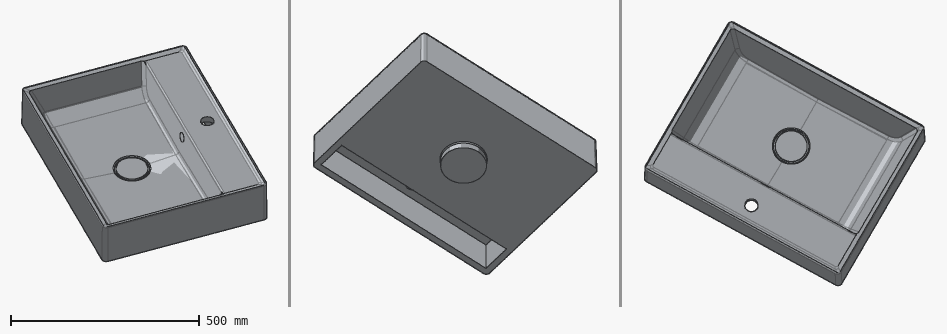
import cadquery as cq
import math

WIDTH = 600.0
DEPTH = 470.0
BODY_HEIGHT = 120.0
SIDE_DRAFT = 2.0
CORNER_RADIUS = 12.0
RIM_ROUND = 1.0
BACK_Y = DEPTH / 2
FRONT_Y = -DEPTH / 2

RIM_LAND = 5.0
RIM_STEP_BACK_INSET = 11.5
RIM_STEP_DROP = 3.0
DECK_INSET = 18.0
DECK_DROP = 4.5
DECK_Z = BODY_HEIGHT - DECK_DROP
DECK_EDGE_Y = 113.0
DECK_EDGE_ROUND = 5.0
TAP_HOLE_DIAMETER = 35.0
TAP_HOLE_Y = 180.0

BOWL_HALF_WIDTH = 284.0
BOWL_FRONT_Y = -218.0
SIDE_LEAN = math.radians(26.5)
FRONT_LEAN = math.radians(24.0)
BACK_LEAN = math.radians(9.5)
VALLEY_Z = 25.5
FLOOR_PITCH = math.radians(1.4)
SIDE_FLOOR_RADIUS = 46.0
BOWL_CORNER_RADIUS = 10.0

KNEE_X = (BOWL_HALF_WIDTH - (DECK_Z - VALLEY_Z) * math.tan(SIDE_LEAN)) / (
    1 - math.tan(FLOOR_PITCH) * math.tan(SIDE_LEAN)
)
KNEE_Z = VALLEY_Z + KNEE_X * math.tan(FLOOR_PITCH)
SIDE_BLEND_TURN = math.pi / 2 - SIDE_LEAN - FLOOR_PITCH
FLOOR_HALF_WIDTH = KNEE_X - SIDE_FLOOR_RADIUS * math.tan(SIDE_BLEND_TURN / 2) * math.cos(FLOOR_PITCH)

OVERFLOW_DIAMETER = 26.0
OVERFLOW_Z = 82.0
OVERFLOW_DEPTH = 0.5

DRAIN_Z = 18.5
DRAIN_Y = -35.0
DRAIN_BEVEL_RADIUS = 50.0
DRAIN_SEAT_RADIUS = 47.0
DRAIN_COVER_RADIUS = 42.5
DRAIN_GROOVE_DEPTH = 5.0
DRAIN_BEVEL_DEPTH = 2.0
OUTLET_RADIUS = 61.0
OUTLET_FLARE_RADIUS = 63.0
OUTLET_FLARE_HEIGHT = 4.5
OUTLET_LENGTH = 24.0

WALL_THICKNESS = 18.0


def rounded_frustum(lower, upper):
    """Loft between two rounded rectangles given as (x half-size, front y, back y, radius, z)."""
    wires = []
    for half_x, front, back, radius, z in (lower, upper):
        sketch = cq.Sketch().rect(2 * half_x, back - front).vertices().fillet(radius)
        face = sketch.moved(cq.Location(cq.Vector(0, (front + back) / 2, z)))
        wires.append(face._faces.Faces()[0].outerWire())
    return cq.Workplane(obj=cq.Solid.makeLoft(wires, True))


def make_body():
    half_width = WIDTH / 2
    body = rounded_frustum(
        (half_width, FRONT_Y, BACK_Y, CORNER_RADIUS, 0),
        (half_width - SIDE_DRAFT, FRONT_Y + SIDE_DRAFT, BACK_Y, CORNER_RADIUS, BODY_HEIGHT),
    )
    return body.faces(">Z").edges().fillet(RIM_ROUND)


def make_deck_recess():
    """Shallow dish whose sloping edge forms the inner side of the rim, creased along the back."""

    def outline(inset, back_inset, z):
        return (WIDTH / 2 - inset, FRONT_Y + inset, BACK_Y - back_inset, CORNER_RADIUS - RIM_LAND, z)

    step_inset = RIM_LAND + (DECK_INSET - RIM_LAND) * RIM_STEP_DROP / DECK_DROP
    top = outline(RIM_LAND, RIM_LAND, BODY_HEIGHT)
    step = outline(step_inset, RIM_STEP_BACK_INSET, BODY_HEIGHT - RIM_STEP_DROP)
    deck = outline(DECK_INSET, DECK_INSET, DECK_Z)
    return rounded_frustum(step, top).union(rounded_frustum(deck, step))


def make_bowl():
    """Bowl volume: a side-to-side section trimmed by leaning front and back walls."""
    top_z = BODY_HEIGHT
    rise = top_z - DECK_Z
    top_half = BOWL_HALF_WIDTH + rise * math.tan(SIDE_LEAN)

    section = (
        cq.Workplane("XZ")
        .polyline([(-top_half, top_z), (-KNEE_X, KNEE_Z), (0, VALLEY_Z), (KNEE_X, KNEE_Z), (top_half, top_z)])
        .close()
        .extrude(DEPTH / 2, both=True)
    )
    knees = section.edges("|Y").filter(lambda edge: math.isclose(edge.Center().z, KNEE_Z))
    section = knees.fillet(SIDE_FLOOR_RADIUS)

    def wall_y(edge_y, lean, z):
        return edge_y + (z - DECK_Z) * math.tan(lean)

    side_profile = [
        (wall_y(BOWL_FRONT_Y, -FRONT_LEAN, top_z), top_z),
        (wall_y(BOWL_FRONT_Y, -FRONT_LEAN, 0), 0),
        (wall_y(DECK_EDGE_Y, BACK_LEAN, 0), 0),
        (wall_y(DECK_EDGE_Y, BACK_LEAN, top_z), top_z),
    ]
    trim = cq.Workplane("YZ").polyline(side_profile).close().extrude(WIDTH, both=True)
    bowl = section.intersect(trim)
    end_edges = bowl.faces("<Y or >Y").edges().edges("not >Z")
    return end_edges.fillet(BOWL_CORNER_RADIUS)


def make_deck_edge_relief():
    """Sliver removed to round the edge where the tap deck turns down into the bowl."""
    turn = math.pi / 2 - BACK_LEAN
    setback = DECK_EDGE_ROUND * math.tan(turn / 2)
    arc_y = DECK_EDGE_Y + setback
    arc_z = DECK_Z - DECK_EDGE_ROUND

    def arc_point(angle):
        return (arc_y - DECK_EDGE_ROUND * math.sin(angle), arc_z + DECK_EDGE_ROUND * math.cos(angle))

    return (
        cq.Workplane("YZ")
        .moveTo(DECK_EDGE_Y, DECK_Z)
        .lineTo(*arc_point(0))
        .threePointArc(arc_point(turn / 2), arc_point(turn))
        .close()
        .extrude(WIDTH / 2 - DECK_INSET, both=True)
    )


def make_tap_hole():
    return (
        cq.Workplane("XY")
        .center(0, TAP_HOLE_Y)
        .circle(TAP_HOLE_DIAMETER / 2)
        .extrude(BODY_HEIGHT)
    )


def make_deck_hollow():
    front_y = DECK_EDGE_Y + WALL_THICKNESS
    back_y = BACK_Y - WALL_THICKNESS
    return cq.Workplane("XY").box(
        WIDTH - 2 * WALL_THICKNESS, back_y - front_y, DECK_Z - WALL_THICKNESS, centered=(True, False, False)
    ).translate((0, front_y, 0))


def make_overflow_mark():
    """Thin disc sunk square to the leaning back wall of the bowl."""
    wall_y = DECK_EDGE_Y - (DECK_Z - OVERFLOW_Z) * math.tan(BACK_LEAN)
    outward = cq.Vector(0, -math.cos(BACK_LEAN), math.sin(BACK_LEAN))
    wall_plane = cq.Plane(origin=(0, wall_y, OVERFLOW_Z), xDir=(1, 0, 0), normal=outward)
    return cq.Workplane(wall_plane).circle(OVERFLOW_DIAMETER / 2).extrude(-OVERFLOW_DEPTH)


def make_floor_dish():
    """Cutter for the hollow in the floor, sweeping smoothly from the floor outline to the drain ring."""
    front_blend = BOWL_CORNER_RADIUS * math.tan(math.pi / 4 - FRONT_LEAN / 2)
    back_blend = BOWL_CORNER_RADIUS * math.tan(math.pi / 4 - BACK_LEAN / 2)
    front_y = BOWL_FRONT_Y + (DECK_Z - VALLEY_Z) * math.tan(FRONT_LEAN) + front_blend
    back_y = DECK_EDGE_Y - (DECK_Z - VALLEY_Z) * math.tan(BACK_LEAN) - back_blend
    side_z = VALLEY_Z + FLOOR_HALF_WIDTH * math.tan(FLOOR_PITCH)

    back_end = cq.Vector(0, back_y, VALLEY_Z)
    front_end = cq.Vector(0, front_y, VALLEY_Z)
    outline = [
        back_end,
        cq.Vector(FLOOR_HALF_WIDTH, back_y, side_z),
        cq.Vector(FLOOR_HALF_WIDTH, front_y, side_z),
        front_end,
    ]
    ring_back = cq.Vector(0, DRAIN_Y + DRAIN_BEVEL_RADIUS, DRAIN_Z)
    ring_front = cq.Vector(0, DRAIN_Y - DRAIN_BEVEL_RADIUS, DRAIN_Z)
    ring_side = cq.Vector(DRAIN_BEVEL_RADIUS, DRAIN_Y, DRAIN_Z)
    ring = cq.Edge.makeThreePointArc(ring_front, ring_side, ring_back)
    ring_chord = cq.Edge.makeLine(ring_back, ring_front)

    edges = [cq.Edge.makeLine(start, end) for start, end in zip(outline, outline[1:])]
    edges += [cq.Edge.makeLine(front_end, ring_front), ring, cq.Edge.makeLine(ring_back, back_end)]

    apex = cq.Vector(0, DRAIN_Y, DECK_Z)
    middle = [front_end, ring_front, ring_back, back_end, apex]
    faces = [
        cq.Face.makeNSidedSurface(edges, []),
        cq.Face.makeFromWires(cq.Wire.makePolygon(middle, close=True)),
        cq.Face.makeFromWires(cq.Wire.assembleEdges([ring, ring_chord])),
    ]
    for start, end in zip(outline, outline[1:]):
        faces.append(cq.Face.makeFromWires(cq.Wire.makePolygon([start, end, apex], close=True)))
    half = cq.Workplane(obj=cq.Solid.makeSolid(cq.Shell.makeShell(faces)).fix())
    return half.union(half.mirror("YZ"))


def make_drain_recess():
    """Bevelled seat with a ring groove left around the flat drain cover."""
    groove_z = DRAIN_Z - DRAIN_GROOVE_DEPTH
    seat_z = DRAIN_Z - DRAIN_BEVEL_DEPTH

    top_radius = 2 * DRAIN_BEVEL_RADIUS - DRAIN_SEAT_RADIUS
    recess = (
        cq.Workplane("XZ")
        .polyline(
            [
                (0, DRAIN_Z),
                (DRAIN_COVER_RADIUS, DRAIN_Z),
                (DRAIN_COVER_RADIUS, groove_z),
                (DRAIN_SEAT_RADIUS, groove_z),
                (DRAIN_SEAT_RADIUS, seat_z),
                (top_radius, DRAIN_Z + DRAIN_BEVEL_DEPTH),
                (0, DRAIN_Z + DRAIN_BEVEL_DEPTH),
            ]
        )
        .close()
        .revolve(360, (0, 0, 0), (0, 1, 0))
    )
    return recess.translate((0, DRAIN_Y, 0))


def make_outlet():
    """Round stub below the body, flared where it meets the underside."""
    outlet = (
        cq.Workplane("XZ")
        .polyline(
            [
                (0, 0),
                (OUTLET_FLARE_RADIUS, 0),
                (OUTLET_RADIUS, -OUTLET_FLARE_HEIGHT),
                (OUTLET_RADIUS, -OUTLET_LENGTH),
                (0, -OUTLET_LENGTH),
            ]
        )
        .close()
        .revolve(360, (0, 0, 0), (0, 1, 0))
    )
    return outlet.translate((0, DRAIN_Y, 0))


result = make_body()
for cutter in (
    make_deck_recess(),
    make_bowl(),
    make_deck_edge_relief(),
    make_floor_dish(),
    make_drain_recess(),
    make_tap_hole(),
    make_deck_hollow(),
    make_overflow_mark(),
):
    result = result.cut(cutter)
result = result.union(make_outlet())